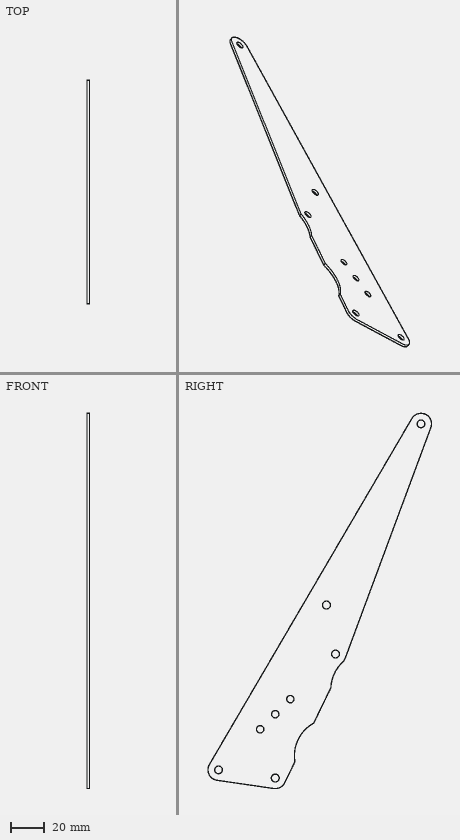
import cadquery as cq
import math

thickness = 1.59
edge_radius = 6.35

tip = (86.81, 211.03)
knee = (35.9, 73.9)
heel = (0.0, 0.0)
toe = (-33.8, 4.9)
corners = [tip, knee, heel, toe]

tip_hole_diameter = 4.45
toe_hole_diameter = 4.45
heel_hole_diameter = 4.57
knee_hole_diameter = 4.57
upper_hole_diameter = 4.62
row_hole_diameter = 4.24

upper_hole = (30.5, 103.1)

row_centre = (0.0, 38.05)
row_pitch = 12.7
row_angle = 45.0

relief_radius = 22.225
upper_relief_centre = (55.4, 52.9)
lower_relief_centre = (33.7, 13.3)


def disc(centre, radius):
    """Disc of plate thickness, starting at X = 0."""
    return cq.Workplane("YZ").center(*centre).circle(radius).extrude(thickness)


def rounded_blank():
    """Plate whose straight edges are tangent to equal discs at the corners."""
    blank = cq.Workplane("YZ").polyline(corners).close().extrude(thickness)
    for start, end in zip(corners, corners[1:] + corners[:1]):
        run_y = end[0] - start[0]
        run_z = end[1] - start[1]
        length = math.hypot(run_y, run_z)
        band = (
            cq.Workplane("YZ")
            .center((start[0] + end[0]) / 2, (start[1] + end[1]) / 2)
            .transformed(rotate=(0, 0, math.degrees(math.atan2(run_z, run_y))))
            .rect(length, 2 * edge_radius)
            .extrude(thickness)
        )
        blank = blank.union(band).union(disc(start, edge_radius))
    return blank


def row_holes():
    """Centres of three equally spaced holes on a sloping line."""
    step_y = row_pitch * math.cos(math.radians(row_angle))
    step_z = row_pitch * math.sin(math.radians(row_angle))
    return [(row_centre[0] + i * step_y, row_centre[1] + i * step_z) for i in (-1, 0, 1)]


def cut_reliefs(plate):
    """Cut the two circular reliefs through the plate edge."""
    for centre in (upper_relief_centre, lower_relief_centre):
        plate = plate.cut(disc(centre, relief_radius))
    return plate


def cut_holes(plate):
    """Cut the corner holes, the upper hole and the row of three through the plate."""
    holes = [
        (tip, tip_hole_diameter),
        (knee, knee_hole_diameter),
        (upper_hole, upper_hole_diameter),
        (heel, heel_hole_diameter),
        (toe, toe_hole_diameter),
    ]
    holes += [(centre, row_hole_diameter) for centre in row_holes()]
    for centre, diameter in holes:
        plate = plate.cut(disc(centre, diameter / 2))
    return plate


plate_blank = rounded_blank()
relieved_plate = cut_reliefs(plate_blank)
result = cut_holes(relieved_plate)